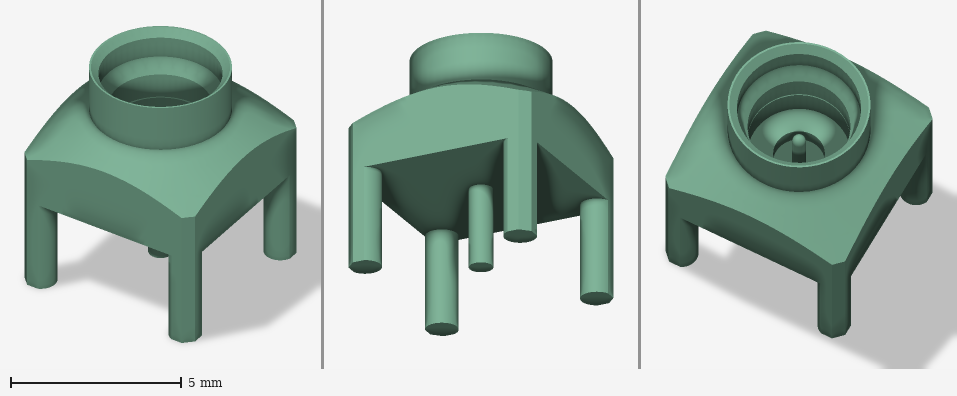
import cadquery as cq
import math

height = 7.1
width = 6.0
half_width = width / 2
corner_chamfer = 0.285
body_bottom = 2.995

collar_radius = 2.1
collar_height = 1.5
shoulder_slope = 30.0
shoulder_top = height - collar_height

rim_radius = 2.045
mouth_radius = 1.825
bore_radius = 1.51
mouth_chamfer_depth = 0.23
mouth_depth = 0.9
taper_depth = 1.33
groove_depth = 2.1
groove_height = 0.06
groove_radius = bore_radius + 0.05
floor_depth = 2.995
recess_radius = 0.76
recess_depth = 0.5

contact_radius = 0.2
contact_tip_depth = 2.0
tail_radius = 0.36
tail_bottom = 0.5

leg_radius = 0.5
leg_offset = 2.54


def cylinder(radius, bottom, top):
    return cq.Workplane("XY").workplane(offset=bottom).circle(radius).extrude(top - bottom)


def square_prism():
    block = cq.Workplane("XY").rect(width, width).extrude(height)
    return block.edges("|Z").chamfer(corner_chamfer)


def collar_and_shoulder():
    cone_radius = half_width * math.sqrt(2)
    cone_bottom = shoulder_top - (cone_radius - collar_radius) * math.tan(math.radians(shoulder_slope))
    profile = [
        (0, body_bottom),
        (cone_radius, body_bottom),
        (cone_radius, cone_bottom),
        (collar_radius, shoulder_top),
        (collar_radius, height),
        (0, height),
    ]
    return cq.Workplane("XZ").polyline(profile).close().revolve(360, (0, 0), (0, 1))


def legs():
    spacing = 2 * leg_offset
    overlap_top = body_bottom + 0.07
    return cq.Workplane("XY").rect(spacing, spacing, forConstruction=True).vertices().circle(
        leg_radius
    ).extrude(overlap_top)


def socket():
    groove_top = height - groove_depth
    groove_bottom = groove_top - groove_height
    floor = height - floor_depth
    profile = [
        (0, height),
        (rim_radius, height),
        (mouth_radius, height - mouth_chamfer_depth),
        (mouth_radius, height - mouth_depth),
        (bore_radius, height - taper_depth),
        (bore_radius, groove_top),
        (groove_radius, groove_top),
        (groove_radius, groove_bottom),
        (bore_radius, groove_bottom),
        (bore_radius, floor),
        (recess_radius, floor),
        (recess_radius, floor - recess_depth),
        (0, floor - recess_depth),
    ]
    return cq.Workplane("XZ").polyline(profile).close().revolve(360, (0, 0), (0, 1))


def contact():
    dome_centre = height - contact_tip_depth - contact_radius
    pin = cylinder(contact_radius, body_bottom, dome_centre)
    dome = cq.Workplane("XY").sphere(contact_radius).translate((0, 0, dome_centre))
    tail = cylinder(tail_radius, tail_bottom, body_bottom + 0.07)
    return pin.union(dome).union(tail)


outline = collar_and_shoulder().union(legs()).intersect(square_prism())
result = outline.cut(socket()).union(contact())